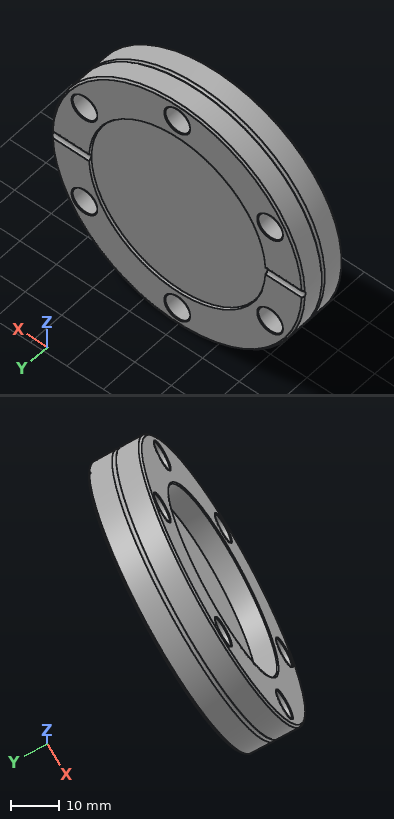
import cadquery as cq
import math

outer_diameter = 69.1
thickness = 12.7
rim_chamfer = 0.5
front_face = -thickness / 2
back_face = thickness / 2

opening_diameter = 45.5
opening_chamfer = 0.3
seat_diameter = 48.3
lip_depth = 5.25

bolt_count = 6
bolt_diameter = 6.7
bolt_circle_diameter = 58.7
bolt_edge_chamfer = 0.2

rim_groove_width = 1.0
rim_groove_depth = 0.5

channel_width = 2.1
channel_depth = 0.7

disc_diameter = 48.1
disc_thickness = thickness - lip_depth - channel_depth


def arc_radius(chord, depth):
    """Radius of the arc that spans a chord and rises by the given depth."""
    return (chord**2 / 4 + depth**2) / (2 * depth)


def cylinder(diameter, start, length):
    """Cylinder about the Y axis that runs from start toward +Y."""
    return cq.Workplane("XZ", origin=(0, start, 0)).circle(diameter / 2).extrude(-length)


def stepped_ring():
    """Chamfered ring whose bore widens behind the lip."""
    blank = cylinder(outer_diameter, front_face, thickness).faces("<Y or >Y").chamfer(rim_chamfer)
    opening = cylinder(opening_diameter, front_face, thickness)
    seat = cylinder(seat_diameter, front_face + lip_depth, thickness - lip_depth)
    bored = blank.cut(opening)
    opening_edge = cq.selectors.RadiusNthSelector(0)
    bored = bored.faces("<Y").edges(opening_edge).chamfer(opening_chamfer)
    return bored.cut(seat)


def bolt_holes():
    """Through holes on the bolt circle, widened by a chamfer at both faces."""
    hole_radius = bolt_diameter / 2
    mouth_radius = hole_radius + bolt_edge_chamfer
    profile = [
        (0, front_face),
        (mouth_radius, front_face),
        (hole_radius, front_face + bolt_edge_chamfer),
        (hole_radius, back_face - bolt_edge_chamfer),
        (mouth_radius, back_face),
        (0, back_face),
    ]
    hole = cq.Workplane("XY").polyline(profile).close().revolve(360, (0, 0), (0, 1))
    holes = cq.Workplane("XY")
    for index in range(bolt_count):
        angle = 2 * math.pi * index / bolt_count
        x = bolt_circle_diameter / 2 * math.sin(angle)
        z = bolt_circle_diameter / 2 * math.cos(angle)
        holes = holes.add(hole.translate((x, 0, z)))
    return holes.combine()


def rim_groove():
    """Torus whose inner part cuts the groove into the rim."""
    radius = arc_radius(rim_groove_width, rim_groove_depth)
    center = outer_diameter / 2 - rim_groove_depth + radius
    return cq.Workplane("XY").center(center, 0).circle(radius).revolve(360, (-center, 0), (-center, 1))


def leak_channel():
    """Rod along X, across the full diameter, that dips into the back face."""
    radius = arc_radius(channel_width, channel_depth)
    center_y = back_face - channel_depth + radius
    section = cq.Workplane("YZ", origin=(-outer_diameter / 2, center_y, 0)).circle(radius)
    return section.extrude(outer_diameter)


ring = stepped_ring().cut(bolt_holes()).cut(rim_groove()).cut(leak_channel())
disc = cylinder(disc_diameter, front_face + lip_depth, disc_thickness)

result = cq.Compound.makeCompound([ring.val(), disc.val()])